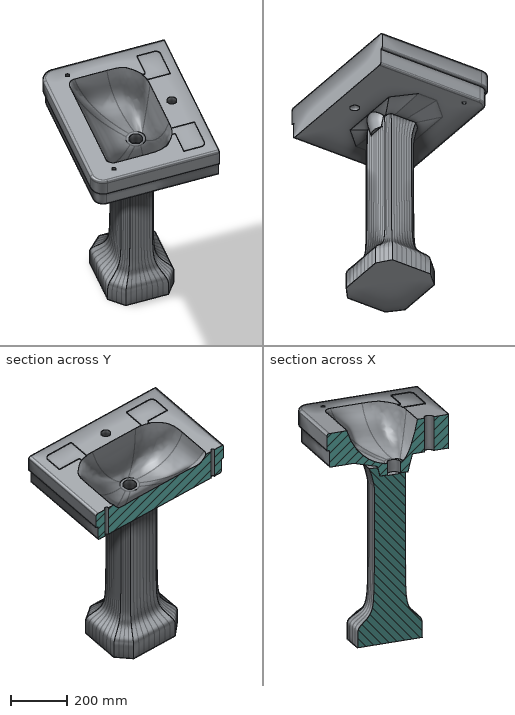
import cadquery as cq
import math

BASIN_WIDTH = 580.37
BASIN_DEPTH = 470.18
BASIN_TOP = 840.0

RIM_BOTTOM = 773.0
RIM_CORNER_RADIUS = 48.0
RIM_TOP_ROUNDING = 9.5
RIM_BOTTOM_ROUNDING = 5.0

SKIRT_INSET = 9.5
SKIRT_BOTTOM = 709.0
SKIRT_BOTTOM_ROUNDING = 8.0

BOWL_HALF_WIDTH = 215.0
BOWL_BACK = 121.0
BOWL_FRONT = 392.0
BOWL_FRONT_CORNER_RADIUS = 28.0
BOWL_BACK_CORNER_X = 98.0
BOWL_BACK_CORNER_END = 242.0
BOWL_BACK_CORNER_POINTS = [(193.0, 160.0), (150.0, 128.0)]

BOWL_WAIST_Z = 760.0
BOWL_WAIST_SCALE = 0.78

DRAIN_DEPTH = 210.7
DRAIN_SEAT_RADIUS = 35.0
DRAIN_SEAT_Z = 690.0
DRAIN_SEAT_JOINTS = [10, 60, 120, 170, 205, 235, 305, 335]
DRAIN_HOLE_RADIUS = 24.0
DRAIN_BOSS_BOTTOM = 643.5
DRAIN_BOSS_TOP_RADIUS = 72.5
DRAIN_BOSS_BOTTOM_RADIUS = 55.0

BELLY_TOP_HALF_WIDTH = 200.0
BELLY_TOP_BACK = DRAIN_DEPTH - DRAIN_BOSS_TOP_RADIUS
BELLY_TOP_FRONT = 366.0
BELLY_TOP_CORNER = 75.0
BELLY_BOTTOM_HALF_WIDTH = 78.0
BELLY_BOTTOM_BACK = 170.0
BELLY_BOTTOM_FRONT = 266.0
BELLY_BOTTOM_CORNER = 24.0

DISH_INNER_X = 125.0
DISH_OUTER_X = 245.0
DISH_BACK = 35.0
DISH_FRONT = 118.0
DISH_CORNER_RADIUS = 18.0
DISH_SINK = 2.0
CHANNEL_OUTER_X = 154.0
CHANNEL_FRONT = 160.0
CHANNEL_ROUNDING = 5.0

TAP_HOLE_DEPTH = 75.0
TAP_HOLE_RADIUS = 17.5
SIDE_HOLE_X = 241.0
SIDE_HOLE_DEPTH = 381.0
SIDE_HOLE_RADIUS = 7.0

PEDESTAL_TOP = 680.0
SHAFT_HALF_WIDTH = 82.0
SHAFT_BACK = 166.0
SHAFT_FRONT = 287.0
SHAFT_CORNER = 24.0
SHAFT_BACK_CORNER_DEPTH = 12.0
FOOT_HALF_WIDTH = 144.5
FOOT_BACK = 101.0
FOOT_FRONT = 351.0
FOOT_CORNER = 50.0
FOOT_BACK_CORNER_DEPTH = 39.0
FOOT_PLINTH_HEIGHT = 50.0
FLARE_HALF_RISE = 53.0
FLARE_SHARPNESS = 3.4
LIP_START = 600.0
LIP_REACH = 20.0
LIP_NARROWING = 4.0
LIP_CURVE = 1.5
SECTION_SPACING = 10.0
PANELS_PER_SIDE = 8
PANELS_PER_CORNER = 4


def octagon_corners(half_width, back, front, corner, back_corner_depth, z):
    """Corners of a rectangle with cut corners, symmetric about X = 0."""
    flat = half_width - corner
    points = [
        (flat, -back),
        (half_width, -back - back_corner_depth),
        (half_width, -front + corner),
        (flat, -front),
    ]
    mirrored = [(-x, y) for x, y in reversed(points)]
    return [cq.Vector(x, y, z) for x, y in points + mirrored]


def loft(*wires):
    return cq.Workplane(obj=cq.Solid.makeLoft(list(wires)))


def slab(inset, bottom, top):
    """Block against the wall with its two front corners rounded."""
    half_width = BASIN_WIDTH / 2 - inset
    front = BASIN_DEPTH - inset
    return (
        cq.Workplane("XY")
        .workplane(offset=bottom)
        .center(0, -front / 2)
        .rect(2 * half_width, front)
        .extrude(top - bottom)
        .edges("|Z and <Y")
        .fillet(RIM_CORNER_RADIUS - inset)
    )


def round_free_edges(block, face, radius):
    """Round the edges of a horizontal face, leaving the one on the wall sharp."""
    return block.faces(face).edges("not >Y").fillet(radius)


def rim_and_skirt():
    rim = slab(0, RIM_BOTTOM, BASIN_TOP)
    rim = round_free_edges(rim, ">Z", RIM_TOP_ROUNDING)
    rim = round_free_edges(rim, "<Z", RIM_BOTTOM_ROUNDING)
    skirt = slab(SKIRT_INSET, SKIRT_BOTTOM, RIM_BOTTOM)
    skirt = round_free_edges(skirt, "<Z", SKIRT_BOTTOM_ROUNDING)
    return rim.union(skirt)


def belly_outline(half_width, back, front, corner, z):
    return cq.Wire.makePolygon(octagon_corners(half_width, back, front, corner, corner, z), close=True)


def belly():
    top = belly_outline(
        BELLY_TOP_HALF_WIDTH, BELLY_TOP_BACK, BELLY_TOP_FRONT, BELLY_TOP_CORNER, SKIRT_BOTTOM
    )
    bottom = belly_outline(
        BELLY_BOTTOM_HALF_WIDTH, BELLY_BOTTOM_BACK, BELLY_BOTTOM_FRONT, BELLY_BOTTOM_CORNER, PEDESTAL_TOP
    )
    return loft(top, bottom)


def drain_boss():
    """Cone round the drain that reaches down into the top of the pedestal."""
    cone = cq.Solid.makeCone(
        DRAIN_BOSS_BOTTOM_RADIUS,
        DRAIN_BOSS_TOP_RADIUS,
        SKIRT_BOTTOM - DRAIN_BOSS_BOTTOM,
        cq.Vector(0, -DRAIN_DEPTH, DRAIN_BOSS_BOTTOM),
    )
    return cq.Workplane(obj=cone)


def bowl_outline(scale, z):
    """Bowl outline with swept back corners and round front corners, scaled about the drain axis."""

    def at(x, depth):
        return (scale * x, scale * (DRAIN_DEPTH - depth))

    w = BOWL_HALF_WIDTH
    front = BOWL_FRONT
    r = BOWL_FRONT_CORNER_RADIUS
    arc_inset = r * (1 - math.sqrt(0.5))
    curve = [(w, BOWL_BACK_CORNER_END), *BOWL_BACK_CORNER_POINTS, (BOWL_BACK_CORNER_X, BOWL_BACK)]
    right_curve = [at(x, depth) for x, depth in curve]
    left_curve = [at(-x, depth) for x, depth in reversed(curve)]
    outline = (
        cq.Workplane("XY", origin=(0, -DRAIN_DEPTH, z))
        .moveTo(*right_curve[0])
        .spline(right_curve[1:], tangents=[(0, 1), (-1, 0)], includeCurrent=True)
        .lineTo(*left_curve[0])
        .spline(left_curve[1:], tangents=[(-1, 0), (0, -1)], includeCurrent=True)
        .lineTo(*at(-w, front - r))
        .threePointArc(at(-w + arc_inset, front - arc_inset), at(-w + r, front))
        .lineTo(*at(w - r, front))
        .threePointArc(at(w - arc_inset, front - arc_inset), at(w, front - r))
        .close()
    )
    return outline.val()


def drain_seat():
    """Circle round the drain in eight arcs, one below each edge of the bowl opening."""

    def at(angle):
        a = math.radians(angle)
        return (DRAIN_SEAT_RADIUS * math.cos(a), DRAIN_SEAT_RADIUS * math.sin(a))

    circle = cq.Workplane("XY", origin=(0, -DRAIN_DEPTH, DRAIN_SEAT_Z)).moveTo(*at(DRAIN_SEAT_JOINTS[0]))
    for start, end in zip(DRAIN_SEAT_JOINTS, DRAIN_SEAT_JOINTS[1:] + [DRAIN_SEAT_JOINTS[0] + 360]):
        circle = circle.threePointArc(at((start + end) / 2), at(end))
    return circle.wire().val()


def bowl():
    opening = bowl_outline(1, BASIN_TOP)
    waist = bowl_outline(BOWL_WAIST_SCALE, BOWL_WAIST_Z)
    return loft(opening, waist, drain_seat())


def soap_dishes():
    """Both shallow dishes with their channels into the bowl."""
    floor = cq.Workplane("XY", origin=(0, 0, BASIN_TOP - DISH_SINK))
    dish = (
        floor.moveTo(DISH_INNER_X, -DISH_BACK)
        .lineTo(DISH_OUTER_X, -DISH_BACK)
        .lineTo(DISH_OUTER_X, -DISH_FRONT)
        .lineTo(CHANNEL_OUTER_X, -DISH_FRONT)
        .lineTo(CHANNEL_OUTER_X, -CHANNEL_FRONT)
        .lineTo(DISH_INNER_X, -CHANNEL_FRONT)
        .close()
        .extrude(DISH_SINK)
        .edges(cq.NearestToPointSelector((DISH_OUTER_X, -DISH_BACK, BASIN_TOP - DISH_SINK / 2)))
        .fillet(DISH_CORNER_RADIUS)
        .edges(cq.NearestToPointSelector((CHANNEL_OUTER_X, -DISH_FRONT, BASIN_TOP - DISH_SINK / 2)))
        .fillet(CHANNEL_ROUNDING)
    )
    return dish.union(dish.mirror("YZ"))


def hole(x, depth, radius):
    return cq.Workplane("XY", origin=(x, -depth, 0)).circle(radius).extrude(BASIN_TOP)


def make_basin():
    basin = rim_and_skirt().union(belly()).union(drain_boss())
    basin = basin.cut(bowl()).cut(soap_dishes())
    basin = basin.cut(hole(0, DRAIN_DEPTH, DRAIN_HOLE_RADIUS))
    basin = basin.cut(hole(0, TAP_HOLE_DEPTH, TAP_HOLE_RADIUS))
    for side in (-1, 1):
        basin = basin.cut(hole(side * SIDE_HOLE_X, SIDE_HOLE_DEPTH, SIDE_HOLE_RADIUS))
    return basin


def divided(start, end, panels):
    """Points that split a straight side into equal panels, without its end point."""
    step = (end - start) / panels
    return [start + step * i for i in range(panels)]


def pedestal_section(z):
    """Panel joints round the column: foot below, plain shaft, and a lip leaning forward at the top."""
    rise = max(z - FOOT_PLINTH_HEIGHT, 0) / FLARE_HALF_RISE
    flare = 1 / (1 + rise**FLARE_SHARPNESS)
    lip = max(z - LIP_START, 0) / (PEDESTAL_TOP - LIP_START)

    def blend(shaft, foot):
        return shaft + flare * (foot - shaft)

    corners = octagon_corners(
        blend(SHAFT_HALF_WIDTH, FOOT_HALF_WIDTH) - lip * LIP_NARROWING,
        blend(SHAFT_BACK, FOOT_BACK),
        blend(SHAFT_FRONT, FOOT_FRONT) + lip**LIP_CURVE * LIP_REACH,
        blend(SHAFT_CORNER, FOOT_CORNER),
        blend(SHAFT_BACK_CORNER_DEPTH, FOOT_BACK_CORNER_DEPTH),
        z,
    )
    joints = []
    for side, start in enumerate(corners):
        end = corners[(side + 1) % len(corners)]
        cut_corner = side % 2 == 0
        joints += divided(start, end, PANELS_PER_CORNER if cut_corner else PANELS_PER_SIDE)
    return joints


def make_column():
    """Upright panels between curves that follow the flare of the foot and the lean of the lip."""
    steps = round(PEDESTAL_TOP / SECTION_SPACING)
    heights = [i * SECTION_SPACING for i in range(steps + 1)]
    sections = [pedestal_section(z) for z in heights]
    curves = [cq.Edge.makeSpline(list(points), parameters=heights) for points in zip(*sections)]
    panels = [cq.Face.makeRuledSurface(curves[i - 1], curve) for i, curve in enumerate(curves)]
    ends = [cq.Face.makeFromWires(cq.Wire.makePolygon(s, close=True)) for s in (sections[0], sections[-1])]
    return cq.Workplane(obj=cq.Solid.makeSolid(cq.Shell.makeShell(panels + ends)))


def make_pedestal():
    return make_column().cut(drain_boss())


basin = make_basin()
pedestal = make_pedestal()
result = cq.Compound.makeCompound([basin.solids().val(), pedestal.solids().val()])